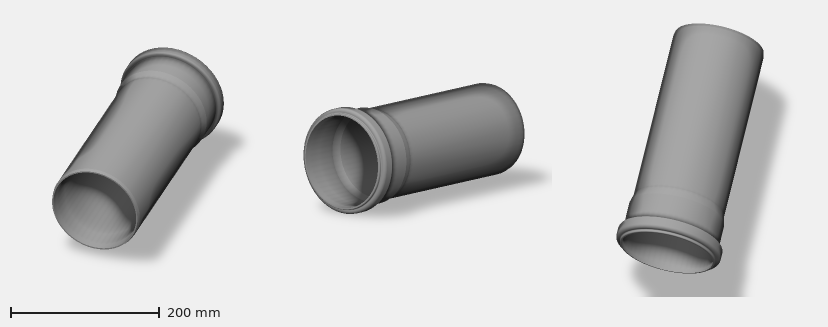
import cadquery as cq

length = 313.0

pipe_radius = 125.2 / 2
bore_radius = 119.0 / 2
spigot_chamfer_length = 5.0
spigot_chamfer_depth = 1.3

socket_radius = 131.5 / 2
socket_bore_radius = 126.0 / 2
socket_depth = 57.0
taper_length = 12.5
socket_start = length - socket_depth
taper_start = socket_start - taper_length

mouth_fillet = 1.3

bead_radius = 144.3 / 2
bead_start = length - 21.0
bead_end = length - 3.8
bead_inner_edge_fillet = 2.8
bead_mouth_edge_fillet = 4.5
bead_root_fillet = 1.0


def revolve_profile(points):
    """Revolve a closed (radius, Y) outline about the Y axis."""
    return cq.Workplane("XY").polyline(points).close().revolve(360, (0, 0, 0), (0, 1, 0))


def edge_ring(radius, y):
    """Select the circular edge of the given radius at height y."""
    margin = 0.15
    reach = radius + margin
    return cq.selectors.BoxSelector(
        (-reach, y - margin, -reach), (reach, y + margin, reach), boundingbox=True
    ) - cq.selectors.BoxSelector(
        (-reach + 2 * margin, y - margin, -reach + 2 * margin),
        (reach - 2 * margin, y + margin, reach - 2 * margin),
        boundingbox=True,
    )


def outer_body():
    body = revolve_profile([
        (0, 0),
        (pipe_radius - spigot_chamfer_depth, 0),
        (pipe_radius, spigot_chamfer_length),
        (pipe_radius, taper_start),
        (socket_radius, socket_start),
        (socket_radius, bead_start),
        (bead_radius, bead_start),
        (bead_radius, bead_end),
        (socket_radius, bead_end),
        (socket_radius, length),
        (0, length),
    ])
    body = body.edges(edge_ring(bead_radius, bead_start)).fillet(bead_inner_edge_fillet)
    body = body.edges(edge_ring(bead_radius, bead_end)).fillet(bead_mouth_edge_fillet)
    body = body.edges(edge_ring(socket_radius, length)).fillet(mouth_fillet)
    for root in (bead_start, bead_end):
        body = body.edges(edge_ring(socket_radius, root)).fillet(bead_root_fillet)
    return body


def inner_passage():
    return revolve_profile([
        (0, 0),
        (bore_radius, 0),
        (bore_radius, taper_start),
        (socket_bore_radius, socket_start),
        (socket_bore_radius, length),
        (0, length),
    ])


result = outer_body().cut(inner_passage())